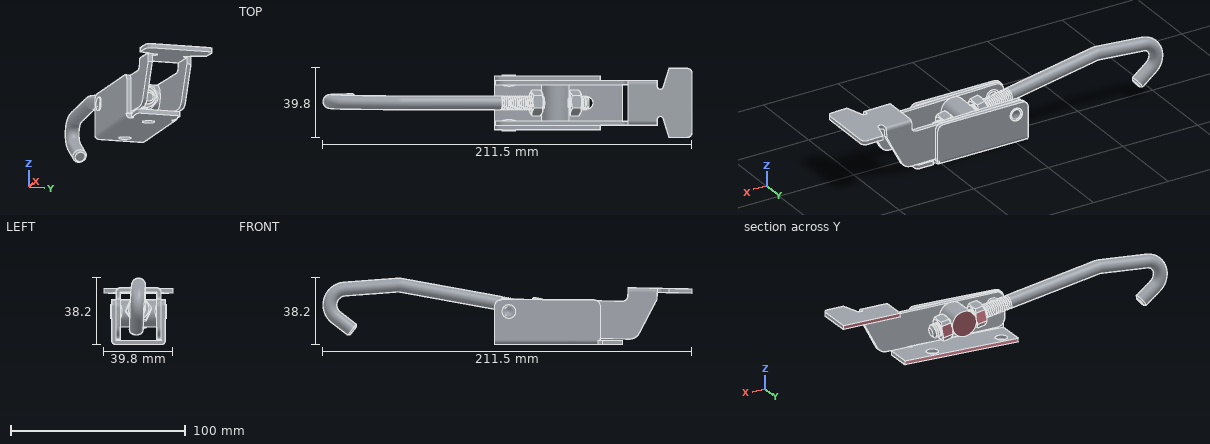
import cadquery as cq
import math

SHEET = 2.5
CUT_MARGIN = 2.1

BASE_LENGTH = 60.8
BASE_HEIGHT = 25.8
BASE_WIDTH = 31.0
BASE_CORNER = 4.0
TAB_LENGTH = 12.7
TAB_CORNER = 2.0
RELIEF_RADIUS = 1.3
RELIEF_LENGTH = 2 * (SHEET + RELIEF_RADIUS)
TAB_WIDTH = BASE_WIDTH - 2 * SHEET
FLOOR_HOLE_DIAMETER = 7.0
FLOOR_HOLE_SPACING = 44.7

RIVET_X = 8.3
RIVET_Z = 19.0
RIVET_SHANK = 6.0
RIVET_HEAD_DIAMETER = 7.8
RIVET_HEAD_HEIGHT = 0.6
RIVET_DIMPLE_DIAMETER = 5.3
RIVET_DIMPLE_DEPTH = 0.8
RIVET_DOME_DIAMETER = 8.5
RIVET_DOME_HEIGHT = 0.8

LEVER_TILT = 1.1
LEVER_WIDTH = BASE_WIDTH - 2 * SHEET
LEVER_START = 0.6
LEVER_BOTTOM = 4.5
LEVER_ARM_TOP = 26.3
LEVER_END_CORNER = 5.3
RISER_START = 76.2
RISER_END = 93.2
RISER_CORNER = 3.0
PLATE_TOP = 34.0
SLANT_TOP = 27.7
SLANT_FOOT = 81.5
SLANT_CORNER = 6.5

HANDLE_END = 113.0
HANDLE_WIDTH = 39.8
HANDLE_CORNER = 3.0
NECK_WIDTH = 15.7
NOTCH_RADIUS = 1.7
NOTCH_SLANT = 17.0

BARREL_X = 35.0
BARREL_Z = 18.0
BARREL_DIAMETER = 15.9
BARREL_LENGTH = LEVER_WIDTH - 2 * SHEET

ROD_DIAMETER = 8.0
ROD_TILT = 10.3
ROD_ROLL = 2.5
THREAD_START = -31.8
THREAD_END = 19.3
THREAD_TURNS = 40
THREAD_DEPTH = 0.76
THREAD_CHAMFER = 1.5
STRAIGHT_LENGTH = 90.0
ELBOW_RADIUS = 8.5
ELBOW_TURN = 14.6
ROD_NECK_LENGTH = 30.3
HOOK_RADIUS = 9.0
HOOK_TURN = 138.0
TIP_LENGTH = 12.5
TIP_CHAMFER = 1.0

NUT_FLATS = 13.0
NUT_HEIGHT = 6.5
NUT_ROLL = -6.0
NUT_CHAMFER_ANGLE = 30.0
NUT_FACE_DIAMETER = 11.9


def box(x_start, x_end, width, z_start, z_end):
    """A box centred on Y = 0."""
    size = (x_end - x_start, width, z_end - z_start)
    return cq.Workplane("XY").box(*size, centered=(False, True, False)).translate((x_start, 0, z_start))


def cross_cylinder(x, z, diameter, length):
    """A cylinder along Y, centred on Y = 0."""
    return cq.Workplane("XZ", origin=(x, 0, z)).circle(diameter / 2).extrude(length / 2, both=True)


def make_base():
    channel = box(0, BASE_LENGTH, BASE_WIDTH, 0, BASE_HEIGHT).edges("|X and <Z").fillet(SHEET)
    channel = channel.edges("|Y and >Z").fillet(BASE_CORNER)
    inside = box(-CUT_MARGIN, BASE_LENGTH + CUT_MARGIN, LEVER_WIDTH, SHEET, BASE_HEIGHT + CUT_MARGIN)
    tab_end = BASE_LENGTH + TAB_LENGTH
    tab = box(BASE_LENGTH - TAB_LENGTH, tab_end, TAB_WIDTH, 0, SHEET).edges("|Z and >X").fillet(TAB_CORNER)
    reliefs = (
        cq.Workplane("XY")
        .pushPoints([(BASE_LENGTH, side * BASE_WIDTH / 2) for side in (-1, 1)])
        .slot2D(RELIEF_LENGTH, 2 * RELIEF_RADIUS, 90)
        .extrude(SHEET)
    )
    floor_holes = (
        cq.Workplane("XY")
        .pushPoints([(RIVET_X, 0), (RIVET_X + FLOOR_HOLE_SPACING, 0)])
        .circle(FLOOR_HOLE_DIAMETER / 2)
        .extrude(SHEET)
    )
    rivet_holes = cross_cylinder(RIVET_X, RIVET_Z, RIVET_SHANK, BASE_WIDTH)
    return channel.cut(inside).union(tab).cut(reliefs).cut(floor_holes).cut(rivet_holes)


def make_lever_channel():
    side = (
        cq.Workplane("XZ")
        .moveTo(LEVER_START, LEVER_BOTTOM)
        .lineTo(SLANT_FOOT, LEVER_BOTTOM)
        .lineTo(RISER_END, SLANT_TOP)
        .lineTo(RISER_END, PLATE_TOP)
        .lineTo(RISER_START, PLATE_TOP)
        .lineTo(RISER_START, LEVER_ARM_TOP)
        .lineTo(LEVER_START, LEVER_ARM_TOP)
        .close()
        .extrude(LEVER_WIDTH / 2, both=True)
    )
    side = side.edges("|Y and <X").fillet(LEVER_END_CORNER)
    side = side.edges(cq.NearestToPointSelector((SLANT_FOOT, 0, LEVER_BOTTOM))).fillet(SLANT_CORNER)
    side = side.edges(cq.NearestToPointSelector((RISER_START, 0, LEVER_ARM_TOP))).fillet(RISER_CORNER)
    side = side.edges("|X and >Z").fillet(SHEET)
    inside = box(
        LEVER_START - CUT_MARGIN, RISER_END + CUT_MARGIN, LEVER_WIDTH - 2 * SHEET,
        LEVER_BOTTOM - CUT_MARGIN, PLATE_TOP - SHEET,
    )
    return side.cut(inside)


def make_handle():
    """T-shaped plate whose neck has a round notch on each side."""
    plate_bottom = PLATE_TOP - SHEET
    neck = box(RISER_END - SHEET, HANDLE_END, NECK_WIDTH, plate_bottom, PLATE_TOP)
    head = box(RISER_END, HANDLE_END, HANDLE_WIDTH, plate_bottom, PLATE_TOP)
    head = head.edges("|Z and >X").fillet(HANDLE_CORNER)
    slant = math.radians(NOTCH_SLANT)
    notch_x = RISER_END + NOTCH_RADIUS
    notch_y = NECK_WIDTH / 2 + NOTCH_RADIUS
    slant_x = notch_x + NOTCH_RADIUS * math.cos(slant)
    slant_y = notch_y - NOTCH_RADIUS * math.sin(slant)
    edge_y = HANDLE_WIDTH / 2
    notch = (
        cq.Workplane("XY", origin=(0, 0, plate_bottom))
        .moveTo(RISER_END, edge_y)
        .lineTo(RISER_END, notch_y)
        .threePointArc((notch_x, NECK_WIDTH / 2), (slant_x, slant_y))
        .lineTo(slant_x + (edge_y - slant_y) * math.tan(slant), edge_y)
        .close()
        .extrude(SHEET)
    )
    return neck.union(head.cut(notch).cut(notch.mirror("XZ")))


def make_lever():
    lever = make_lever_channel().union(make_handle())
    lever = lever.rotate((RIVET_X, 0, RIVET_Z), (RIVET_X, 1, RIVET_Z), LEVER_TILT)
    return lever.cut(cross_cylinder(RIVET_X, RIVET_Z, RIVET_SHANK, BASE_WIDTH))


def make_rivet(side):
    """Rivet through both sheets, dimpled outside and domed inside; side is -1 or 1 along Y."""
    outer_face = BASE_WIDTH / 2
    inner_face = outer_face - 2 * SHEET
    head_top = outer_face + RIVET_HEAD_HEIGHT
    dome_radius = RIVET_DOME_DIAMETER / 2
    sphere_radius = (dome_radius ** 2 + RIVET_DOME_HEIGHT ** 2) / (2 * RIVET_DOME_HEIGHT)
    half_angle = math.asin(dome_radius / sphere_radius) / 2
    dome_middle = (
        sphere_radius * math.sin(half_angle),
        inner_face - RIVET_DOME_HEIGHT + sphere_radius * (1 - math.cos(half_angle)),
    )
    rivet = (
        cq.Workplane("XY")
        .moveTo(0, inner_face - RIVET_DOME_HEIGHT)
        .threePointArc(dome_middle, (dome_radius, inner_face))
        .lineTo(RIVET_SHANK / 2, inner_face)
        .lineTo(RIVET_SHANK / 2, outer_face)
        .lineTo(RIVET_HEAD_DIAMETER / 2, outer_face)
        .lineTo(RIVET_HEAD_DIAMETER / 2, head_top)
        .lineTo(RIVET_DIMPLE_DIAMETER / 2, head_top)
        .lineTo(0, head_top - RIVET_DIMPLE_DEPTH)
        .close()
        .revolve(360, (0, 0), (0, 1))
    )
    if side < 0:
        rivet = rivet.mirror("XZ")
    return rivet.translate((RIVET_X, 0, RIVET_Z))


def place_on_rod(body, roll):
    """Move a body built along X about the origin onto the rod axis through the barrel."""
    rolled = body.rotate((0, 0, 0), (1, 0, 0), roll)
    return rolled.rotate((0, 0, 0), (0, 1, 0), ROD_TILT).translate((BARREL_X, 0, BARREL_Z))


def rod_hole():
    """Straight cylinder around the rod axis, reaching past the barrel and both nuts."""
    reach = BARREL_DIAMETER / 2 + NUT_HEIGHT + CUT_MARGIN
    return cq.Workplane("YZ").circle(ROD_DIAMETER / 2).extrude(reach, both=True)


def make_barrel():
    barrel = cross_cylinder(BARREL_X, BARREL_Z, BARREL_DIAMETER, BARREL_LENGTH)
    return barrel.cut(place_on_rod(rod_hole(), 0))


def make_thread():
    """Threaded stretch of the rod, with one ring groove per turn."""
    radius = ROD_DIAMETER / 2
    pitch = (THREAD_END - THREAD_CHAMFER - THREAD_START) / THREAD_TURNS
    profile = cq.Workplane("XZ").moveTo(THREAD_START, 0).lineTo(THREAD_START, radius)
    for turn in range(THREAD_TURNS):
        crest = THREAD_START + turn * pitch
        profile = profile.lineTo(crest + pitch / 2, radius - THREAD_DEPTH).lineTo(crest + pitch, radius)
    profile = profile.lineTo(THREAD_END, radius - THREAD_CHAMFER).lineTo(THREAD_END, 0).close()
    return profile.revolve(360, (0, 0), (1, 0))


def add_straight(path, position, heading, length):
    end = (position[0] + length * math.cos(heading), position[1] + length * math.sin(heading))
    return path.lineTo(*end), end


def add_bend(path, position, heading, radius, turn):
    """Left-hand bend; returns the path with its new end and heading."""
    centre = (position[0] - radius * math.sin(heading), position[1] + radius * math.cos(heading))

    def on_bend(direction):
        return (centre[0] + radius * math.sin(direction), centre[1] - radius * math.cos(direction))

    new_heading = heading + math.radians(turn)
    end = on_bend(new_heading)
    return path.threePointArc(on_bend((heading + new_heading) / 2), end), end, new_heading


def make_hook_rod():
    start = (THREAD_START, 0)
    path = cq.Workplane("XZ").moveTo(*start)
    path, end = add_straight(path, start, math.pi, STRAIGHT_LENGTH + THREAD_START)
    path, end, heading = add_bend(path, end, math.pi, ELBOW_RADIUS, ELBOW_TURN)
    path, end = add_straight(path, end, heading, ROD_NECK_LENGTH)
    path, end, heading = add_bend(path, end, heading, HOOK_RADIUS, HOOK_TURN)
    path, end = add_straight(path, end, heading, TIP_LENGTH)
    shank = cq.Workplane("YZ", origin=(THREAD_START, 0, 0)).circle(ROD_DIAMETER / 2).sweep(path)
    shank = shank.faces(cq.NearestToPointSelector((end[0], 0, end[1]))).edges().chamfer(TIP_CHAMFER)
    return place_on_rod(shank.union(make_thread()), ROD_ROLL)


def make_nut(side):
    """Hexagon nut against the barrel, bevelled at both faces; side is -1 or 1 along the rod."""
    corner_radius = NUT_FLATS / math.sqrt(3)
    face_radius = NUT_FACE_DIAMETER / 2
    bevel = (corner_radius - face_radius) * math.tan(math.radians(NUT_CHAMFER_ANGLE))
    hexagon = cq.Workplane("YZ").polygon(6, 2 * corner_radius).extrude(NUT_HEIGHT / 2, both=True)
    bevelled = (
        cq.Workplane("YZ")
        .circle(corner_radius)
        .extrude(NUT_HEIGHT / 2, both=True)
        .faces("<X or >X")
        .chamfer(bevel, corner_radius - face_radius)
    )
    nut = hexagon.intersect(bevelled).translate((side * (BARREL_DIAMETER + NUT_HEIGHT) / 2, 0, 0))
    return place_on_rod(nut.cut(rod_hole()), NUT_ROLL)


base = make_base()
lever = make_lever()
barrel = make_barrel()
hook_rod = make_hook_rod()
rivets = [make_rivet(side).val() for side in (-1, 1)]
nuts = [make_nut(side).val() for side in (-1, 1)]

result = cq.Compound.makeCompound(
    [base.val(), lever.val(), barrel.val(), hook_rod.val(), *rivets, *nuts]
)